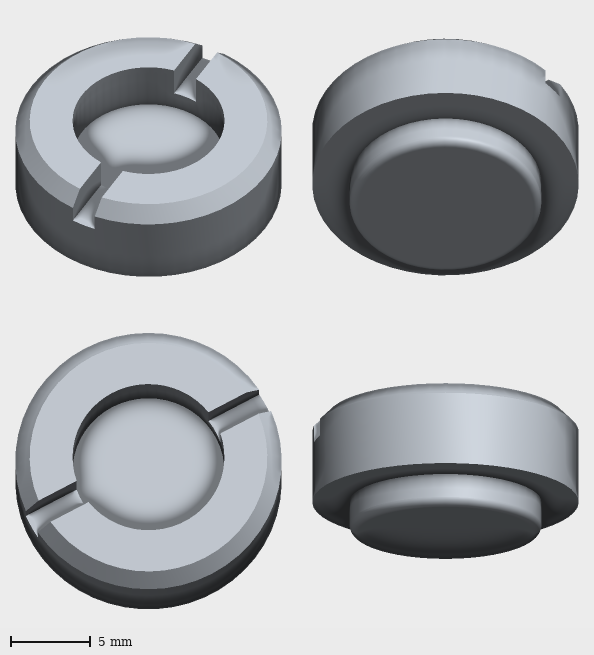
import cadquery as cq

cap_diameter = 16.66
cap_height = 5.5
cap_chamfer = 0.9
bore_diameter = 9.5
bore_depth = 3.25
slot_width = 1.57
slot_depth = 2.0

pad_diameter = 12.0
pad_height = 2.0
pad_fillet = 0.5


def make_cap():
    """Chamfered disc, resting on Z = 0, with a blind bore and a slot across its top."""
    disc = cq.Workplane("XY").circle(cap_diameter / 2).extrude(cap_height)
    disc = disc.faces(">Z").edges().chamfer(cap_chamfer)

    top_plane = cq.Workplane("XY").workplane(offset=cap_height)
    bore = top_plane.circle(bore_diameter / 2).extrude(-bore_depth)
    slot = top_plane.rect(slot_width, cap_diameter).extrude(-slot_depth)
    return disc.cut(bore).cut(slot)


def make_pad():
    """Plain disc against the underside of the cap, with a rounded lower rim."""
    pad = cq.Workplane("XY").circle(pad_diameter / 2).extrude(-pad_height)
    return pad.faces("<Z").edges().fillet(pad_fillet)


cap = make_cap()
pad = make_pad()

result = cq.Compound.makeCompound([cap.val(), pad.val()])